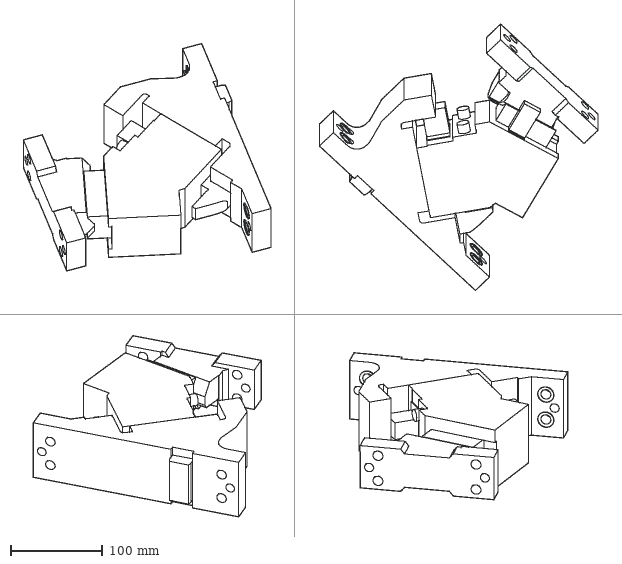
import cadquery as cq
import math


GUIDE_ANGLE = math.radians(35)
DRIVE_ANGLE = math.radians(15)
GUIDE_ORIGIN = (-62.7, -87.4)
DRIVE_ORIGIN = (0.8, -153.0)


def guide(s, t):
    """Point s along the sliding face and t out of the holder."""
    x = GUIDE_ORIGIN[0] + s * math.cos(GUIDE_ANGLE) + t * math.sin(GUIDE_ANGLE)
    y = GUIDE_ORIGIN[1] + s * math.sin(GUIDE_ANGLE) - t * math.cos(GUIDE_ANGLE)
    return (x, y)


def drive(u, v):
    """Point u along the driven face and v toward the driver."""
    x = DRIVE_ORIGIN[0] + u * math.cos(DRIVE_ANGLE) - v * math.sin(DRIVE_ANGLE)
    y = DRIVE_ORIGIN[1] - u * math.sin(DRIVE_ANGLE) - v * math.cos(DRIVE_ANGLE)
    return (x, y)


def guide_at_x(x, t):
    """Point with the given x on the line at distance t from the sliding face."""
    s = (x - GUIDE_ORIGIN[0] - t * math.sin(GUIDE_ANGLE)) / math.cos(GUIDE_ANGLE)
    return guide(s, t)


def guide_at_y(y, t):
    """Point with the given y on the line at distance t from the sliding face."""
    s = (y - GUIDE_ORIGIN[1] + t * math.cos(GUIDE_ANGLE)) / math.sin(GUIDE_ANGLE)
    return guide(s, t)


def guide_wall_at_x(x, s):
    """Point with the given x on the wall at s, square to the sliding face."""
    t = (x - GUIDE_ORIGIN[0] - s * math.cos(GUIDE_ANGLE)) / math.sin(GUIDE_ANGLE)
    return guide(s, t)


def prism(points, z_low, z_high):
    """Closed polygon in XY extruded between two heights."""
    return cq.Workplane("XY").workplane(offset=z_low).polyline(points).close().extrude(z_high - z_low)


def frame_box(frame, a_low, a_high, b_low, b_high, z_low, z_high):
    """Box aligned with one of the tilted frames."""
    corners = [(a_low, b_low), (a_high, b_low), (a_high, b_high), (a_low, b_high)]
    return prism([frame(a, b) for a, b in corners], z_low, z_high)


def plate_hole(x, z, diameter, y_start, depth):
    """Round cutter along +Y starting at y_start."""
    circle = cq.Workplane("XZ", origin=(x, y_start, z)).circle(diameter / 2)
    return circle.extrude(-depth)


def plate_holes(center_x, bolt_x, dowel_x, y_start):
    """Cutters for two pairs of bolt holes and one dowel hole at each end of a plate."""
    cutters = []
    for side in (-1, 1):
        cutters.append(plate_hole(center_x + side * dowel_x, 0, DOWEL_DIAMETER, y_start, PLATE_THICKNESS))
        for z in (-BOLT_Z, BOLT_Z):
            x = center_x + side * bolt_x
            cutters.append(plate_hole(x, z, BOLT_DIAMETER, y_start, PLATE_THICKNESS))
    return cutters


DIAGONAL = math.sqrt(0.5)
HALF_Z = 35.0
PLATE_THICKNESS = 22.0
BOLT_DIAMETER = 11.0
DOWEL_DIAMETER = 10.0
BOLT_Z = 15.0

HOOK_GAP_START = 11.5
HOOK_FOOT_END = 37.3
HOOK_HALF_Z = 10.0

HOLDER_HALF_X = 120.0
HOLDER_BOLT_X = 100.0
HOLDER_DOWEL_X = 110.0
SPOTFACE_DIAMETER = 18.0
SPOTFACE_DEPTH = 1.0

SLIDE_LENGTH = 99.3
RELIEF_DEPTH = 12.3
RELIEF_RADIUS = 4.0
ARM_INNER_S = -7.0
ARM_OUTER_S = -32.8
ARM_TIP_T = 27.0
ARM_OUTER_X = -91.6
ARM_SHOULDER_Y = -68.5
NECK_X = -83.8
NECK_LOW_Y = -41.5
NECK_RADIUS = 14.8
FOOT_WALL_S = 112.2
FOOT_T = 26.7
FOOT_END_S = 142.5
FOOT_STEP = 3.9

KEY_X = -53.4
KEY_WIDTH = 25.0
KEY_HALF_Z = 25.0
KEY_TOP_Y = 9.0
KEY_SEAT_DEPTH = 4.8
KEY_TAPER_HEIGHT = 4.2
KEY_TAPER_WIDTH = 1.4


def make_holder():
    corner = RELIEF_RADIUS * (1 - DIAGONAL)
    neck_mid = NECK_RADIUS * DIAGONAL
    under = -PLATE_THICKNESS
    body = (
        cq.Workplane("XY").workplane(offset=-HALF_Z)
        .moveTo(-HOLDER_HALF_X, 0)
        .lineTo(HOLDER_HALF_X, 0)
        .lineTo(HOLDER_HALF_X, under)
        .lineTo(*guide_at_y(under, FOOT_T + FOOT_STEP))
        .lineTo(*guide(FOOT_END_S, FOOT_T + FOOT_STEP))
        .lineTo(*guide(FOOT_END_S, FOOT_T))
        .lineTo(*guide(FOOT_WALL_S, FOOT_T))
        .lineTo(*guide(FOOT_WALL_S, RELIEF_RADIUS - RELIEF_DEPTH))
        .threePointArc(
            guide(FOOT_WALL_S - corner, corner - RELIEF_DEPTH),
            guide(FOOT_WALL_S - RELIEF_RADIUS, -RELIEF_DEPTH),
        )
        .lineTo(*guide(SLIDE_LENGTH, -RELIEF_DEPTH))
        .lineTo(*guide(SLIDE_LENGTH, 0))
        .lineTo(*guide(0, 0))
        .lineTo(*guide(0, -RELIEF_DEPTH))
        .lineTo(*guide(ARM_INNER_S + RELIEF_RADIUS, -RELIEF_DEPTH))
        .threePointArc(
            guide(ARM_INNER_S + corner, corner - RELIEF_DEPTH),
            guide(ARM_INNER_S, RELIEF_RADIUS - RELIEF_DEPTH),
        )
        .lineTo(*guide(ARM_INNER_S, ARM_TIP_T))
        .lineTo(*guide(ARM_OUTER_S, ARM_TIP_T))
        .lineTo(*guide_wall_at_x(ARM_OUTER_X, ARM_OUTER_S))
        .lineTo(ARM_OUTER_X, ARM_SHOULDER_Y)
        .lineTo(NECK_X, NECK_LOW_Y)
        .lineTo(NECK_X, under - NECK_RADIUS)
        .threePointArc(
            (NECK_X - NECK_RADIUS + neck_mid, under - NECK_RADIUS + neck_mid),
            (NECK_X - NECK_RADIUS, under),
        )
        .lineTo(-HOLDER_HALF_X, under)
        .close()
        .extrude(2 * HALF_Z)
    )
    for cutter in plate_holes(0, HOLDER_BOLT_X, HOLDER_DOWEL_X, under):
        body = body.cut(cutter)
    for x in (-HOLDER_BOLT_X, HOLDER_BOLT_X):
        for z in (-BOLT_Z, BOLT_Z):
            reach = SPOTFACE_DEPTH + NECK_RADIUS
            body = body.cut(plate_hole(x, z, SPOTFACE_DIAMETER, under - NECK_RADIUS, reach))
    return add_key(body)


def add_key(body):
    """Seat a tapered key in a slot across the back of the holder."""
    half = KEY_WIDTH / 2
    slot = [
        (KEY_X - half, -KEY_SEAT_DEPTH), (KEY_X + half, -KEY_SEAT_DEPTH),
        (KEY_X + half, 0), (KEY_X - half, 0),
    ]
    top_half = half - KEY_TAPER_WIDTH
    taper_y = KEY_TOP_Y - KEY_TAPER_HEIGHT
    key = [
        (KEY_X - half, -KEY_SEAT_DEPTH), (KEY_X + half, -KEY_SEAT_DEPTH),
        (KEY_X + half, taper_y), (KEY_X + top_half, KEY_TOP_Y),
        (KEY_X - top_half, KEY_TOP_Y), (KEY_X - half, taper_y),
    ]
    return body.cut(prism(slot, -HALF_Z, HALF_Z)).union(prism(key, -KEY_HALF_Z, KEY_HALF_Z))


GUIDE_HALF_Z = 20.0
RIDGE_TOP_V = 14.2
SHOULDER_V = 23.2
RIDGE_TOP_HALF_Z = 5.4


def ridge(u_low, u_high):
    """Trapezoidal ridge along u, rising from the driver's shoulder to its flat top."""
    axis = (math.cos(DRIVE_ANGLE), -math.sin(DRIVE_ANGLE), 0)
    x, y = drive(u_low, 0)
    plane = cq.Plane(origin=(x, y, 0), xDir=(0, 0, 1), normal=axis)
    section = [
        (-GUIDE_HALF_Z, SHOULDER_V),
        (-RIDGE_TOP_HALF_Z, RIDGE_TOP_V),
        (RIDGE_TOP_HALF_Z, RIDGE_TOP_V),
        (GUIDE_HALF_Z, SHOULDER_V),
    ]
    return cq.Workplane(plane).polyline(section).close().extrude(u_high - u_low)


SLIDER_LEFT_S = 24.8
SLIDER_SIDE_S = 23.9
SLIDER_RIGHT_S = 107.4
SIDE_END_T = 40.8
BOLT_SEAT_S = 19.5
BOLT_SEAT_END_T = 67.6
SLIDER_TOE_S = 9.3
SLIDER_WAIST_X = 64.2
SLIDER_WAIST_T = 67.0
SLIDER_END_U = 78.6
SLIDER_BACK_V = -79.5

SIDE_BOLT_RADIUS = 6.6
SIDE_BOLT_LENGTH = 10.2
SIDE_BOLT_Z = 23.0
SIDE_BOLT_T = 54.2

PAD_OUTER_S = 22.9
PAD_HALF_Z = 20.0

HOOK_FINGER_S = 117.2
HOOK_TIP_T = 67.2
HOOK_OUTER_X = 75.8
HOOK_OUTER_LOW_Y = -52.0
HOOK_SHOULDER_X = 74.8
HOOK_ROUND = 5.0

BLOCK_LENGTH = 63.3
BLOCK_END_V = 22.2
BLOCK_SEAT_DEPTH = 4.0

RETURN_U = (15.5, 35.5)
RETURN_END_V = 35.8
RETURN_LOW_Z = -30.8
STRAP_PAD_V = 1.2
STRAP_PAD_LOW_Z = -34.2


def make_slider():
    toe_t = line_meet_drive_face(SLIDER_TOE_S)
    waist_top = guide(SLIDER_RIGHT_S, SLIDER_WAIST_T)
    waist_run = SLIDER_WAIST_X - DRIVE_ORIGIN[0] + SLIDER_BACK_V * math.sin(DRIVE_ANGLE)
    waist_u = waist_run / math.cos(DRIVE_ANGLE)
    outline = [
        guide(SLIDER_LEFT_S, 0), guide(SLIDER_RIGHT_S, 0),
        waist_top, drive(waist_u, SLIDER_BACK_V),
        drive(SLIDER_END_U, SLIDER_BACK_V), drive(SLIDER_END_U, 0),
        guide(SLIDER_TOE_S, toe_t), guide(SLIDER_TOE_S, BOLT_SEAT_END_T),
        guide(BOLT_SEAT_S, BOLT_SEAT_END_T), guide(BOLT_SEAT_S, SIDE_END_T),
        guide(SLIDER_SIDE_S, SIDE_END_T), guide(SLIDER_SIDE_S, HOOK_GAP_START),
        guide(SLIDER_LEFT_S, HOOK_GAP_START),
    ]
    body = prism(outline, -HALF_Z, HALF_Z)
    body = add_wear_block(body)
    body = body.union(make_hook())
    for part in make_stop_block() + make_side_bolts() + make_return_strap():
        body = body.union(part)
    return body


def line_meet_drive_face(s):
    """t at which the line of constant s meets the driven face (v = 0)."""
    turn = GUIDE_ANGLE + DRIVE_ANGLE
    x, y = guide(s, 0)
    dx = x - DRIVE_ORIGIN[0]
    dy = y - DRIVE_ORIGIN[1]
    height = dx * math.sin(DRIVE_ANGLE) + dy * math.cos(DRIVE_ANGLE)
    return height / math.cos(turn)


def add_wear_block(body):
    """Wear block seated in a slot of the driven face, with a V groove for the ridge."""
    slot = frame_box(drive, 0, SLIDER_END_U, -BLOCK_SEAT_DEPTH, 0, -GUIDE_HALF_Z, GUIDE_HALF_Z)
    block = frame_box(drive, 0, BLOCK_LENGTH, -BLOCK_SEAT_DEPTH, BLOCK_END_V, -GUIDE_HALF_Z, GUIDE_HALF_Z)
    return body.cut(slot).union(block.cut(ridge(0, BLOCK_LENGTH)))


def make_hook():
    """Hook that reaches from the slider's right side under the holder's foot."""
    outline = [
        guide(SLIDER_RIGHT_S, HOOK_GAP_START), guide(FOOT_WALL_S, HOOK_GAP_START),
        guide(FOOT_WALL_S, FOOT_T), guide(FOOT_END_S, FOOT_T),
        guide_wall_at_x(HOOK_SHOULDER_X, FOOT_END_S), (HOOK_OUTER_X, HOOK_OUTER_LOW_Y),
        guide_at_x(HOOK_OUTER_X, HOOK_TIP_T), guide(HOOK_FINGER_S, HOOK_TIP_T),
        guide(HOOK_FINGER_S, HOOK_FOOT_END), guide(SLIDER_RIGHT_S, HOOK_FOOT_END),
    ]
    hook = prism(outline, -HOOK_HALF_Z, HOOK_HALF_Z)
    x, y = guide(FOOT_END_S, (FOOT_T + HOOK_FOOT_END) / 2)
    for z in (-HOOK_HALF_Z, HOOK_HALF_Z):
        hook = hook.edges(cq.selectors.NearestToPointSelector((x, y, z))).fillet(HOOK_ROUND)
    return hook


def make_stop_block():
    """Thin pad on the slider's left side and the stop block resting against the holder's arm."""
    span = (HOOK_GAP_START, HOOK_FOOT_END)
    pad = frame_box(guide, PAD_OUTER_S, SLIDER_SIDE_S, *span, -PAD_HALF_Z, PAD_HALF_Z)
    block = frame_box(guide, ARM_INNER_S, PAD_OUTER_S, *span, -HOOK_HALF_Z, HOOK_HALF_Z)
    return [pad, block]


def make_side_bolts():
    """Two round bolt heads standing on the bolt seat."""
    direction = cq.Vector(-math.cos(GUIDE_ANGLE), -math.sin(GUIDE_ANGLE), 0)
    x, y = guide(BOLT_SEAT_S, SIDE_BOLT_T)
    bolts = []
    for z in (-SIDE_BOLT_Z, SIDE_BOLT_Z):
        head = cq.Solid.makeCylinder(SIDE_BOLT_RADIUS, SIDE_BOLT_LENGTH, cq.Vector(x, y, z), direction)
        bolts.append(cq.Workplane(head))
    return bolts


def make_return_strap():
    """Strap running down beside the driver, with a thin pad under its root."""
    strap = frame_box(drive, *RETURN_U, 0, RETURN_END_V, RETURN_LOW_Z, -GUIDE_HALF_Z)
    pad = frame_box(drive, *RETURN_U, 0, STRAP_PAD_V, STRAP_PAD_LOW_Z, RETURN_LOW_Z)
    return [strap, pad]


DRIVER_X = 12.0
DRIVER_HALF_X = 75.0
DRIVER_BACK_Y = -225.0
DRIVER_HALF_Z = 25.3
DRIVER_BOLT_X = 55.0
DRIVER_DOWEL_X = 65.0
WAIST_HALF_X = 25.2
WAIST_SLOPE_X = 4.2

BODY_LEFT_U = -18.2
BODY_RIGHT_U = 57.0
BODY_RIGHT_END_V = 39.2
HEEL_X = -28.0
HEEL_TOP_Y = -186.7
HEEL_LOW_Y = -197.7
HEEL_FOOT_X = -32.8

NOTCH_TOP_Z = -10.0
NOTCH_WALL_X = -8.5
NOTCH_WALL_LOW_Y = -179.0


def make_driver():
    plate_y = DRIVER_BACK_Y + PLATE_THICKNESS
    inner = WAIST_HALF_X
    outer = WAIST_HALF_X + WAIST_SLOPE_X
    lower_edge = [
        (-DRIVER_HALF_X, -DRIVER_HALF_Z), (-outer, -DRIVER_HALF_Z), (-inner, -GUIDE_HALF_Z),
        (inner, -GUIDE_HALF_Z), (outer, -DRIVER_HALF_Z), (DRIVER_HALF_X, -DRIVER_HALF_Z),
    ]
    contour = lower_edge + [(x, -z) for x, z in reversed(lower_edge)]
    plate = (
        cq.Workplane("XZ", origin=(DRIVER_X, plate_y, 0))
        .polyline(contour).close().extrude(PLATE_THICKNESS)
    )
    outline = [
        drive(BODY_LEFT_U, SHOULDER_V), drive(BODY_RIGHT_U, SHOULDER_V),
        drive(BODY_RIGHT_U, BODY_RIGHT_END_V), drive_at_y(plate_y, BODY_RIGHT_END_V),
        (HEEL_FOOT_X, plate_y), (HEEL_X, HEEL_LOW_Y), (HEEL_X, HEEL_TOP_Y), heel_ledge(),
    ]
    plate = plate.cut(prism(outline, -DRIVER_HALF_Z, DRIVER_HALF_Z))
    body = prism(outline, -GUIDE_HALF_Z, GUIDE_HALF_Z).union(ridge(BODY_LEFT_U, BODY_RIGHT_U))
    body = body.cut(driver_notch())
    driver = plate.union(body)
    for cutter in plate_holes(DRIVER_X, DRIVER_BOLT_X, DRIVER_DOWEL_X, DRIVER_BACK_Y):
        driver = driver.cut(cutter)
    return driver


def drive_at_y(y, v):
    """Point with the given y on the line at distance v from the driven face."""
    u = (DRIVE_ORIGIN[1] - v * math.cos(DRIVE_ANGLE) - y) / math.sin(DRIVE_ANGLE)
    return drive(u, v)


def heel_ledge():
    """Point where the tilted left end of the body meets the small ledge above the heel."""
    drop = DRIVE_ORIGIN[1] - BODY_LEFT_U * math.sin(DRIVE_ANGLE) - HEEL_TOP_Y
    return drive(BODY_LEFT_U, drop / math.cos(DRIVE_ANGLE))


def driver_notch():
    """Cutter that removes the lower left end of the body and ridge."""
    left_x = HEEL_FOOT_X
    top_y = drive(BODY_LEFT_U, 0)[1]
    drop = NOTCH_WALL_LOW_Y - HEEL_TOP_Y
    foot_x = NOTCH_WALL_X - drop * math.tan(DRIVE_ANGLE)
    outline = [
        (left_x, top_y), (NOTCH_WALL_X, top_y), (NOTCH_WALL_X, NOTCH_WALL_LOW_Y),
        (foot_x, HEEL_TOP_Y), (left_x, HEEL_TOP_Y),
    ]
    return prism(outline, -GUIDE_HALF_Z, NOTCH_TOP_Z)


holder = make_holder()
slider = make_slider()
driver = make_driver()

result = cq.Compound.makeCompound([
    holder.solids().val(),
    slider.solids().val(),
    driver.solids().val(),
])